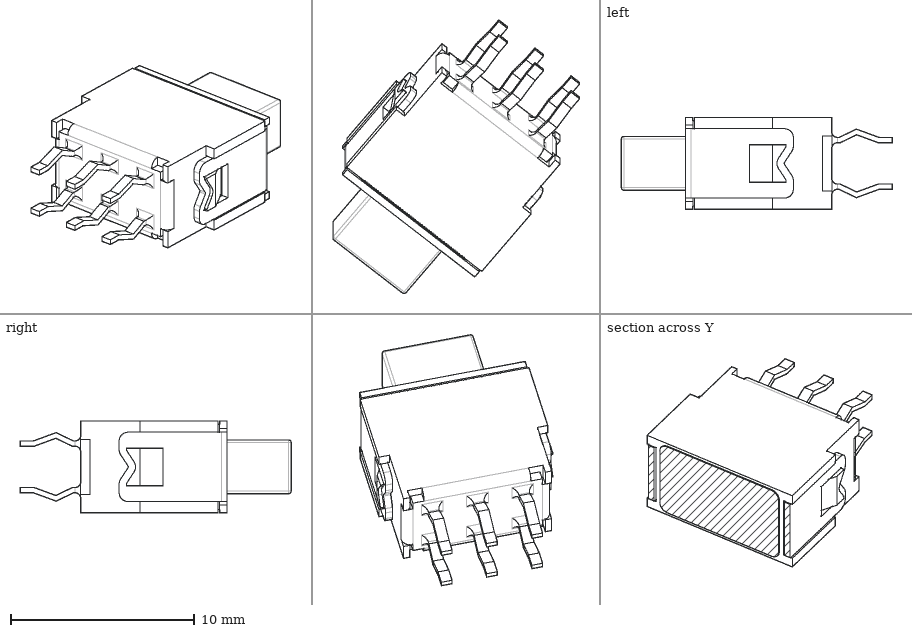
import cadquery as cq
import math


height = 5.02
body_width = 8.33
body_length = 7.5
rail_width = 9.5
rail_start = 3.23
leg_width = 3.79
collar_width = 7.81
collar_height = 4.68
collar_corner = 0.52

end_depth = 0.52
corner_post = 0.35
base_width = 7.28
base_height = 4.0
top_lip_width = 6.01
side_lip_height = 3.0

sheet = 0.4
plate_front = 7.99
plate_width = 9.31
bend_radius = 0.3
relief_width = 0.19
relief_depth = 0.33
leg_end = 2.1
leg_corner = 0.49
hook_tip = 2.62
hook_half_height = 0.78
hook_tip_radius = 0.1
window_end = 4.48
window_height = 2.09

overall_width = 9.7
latch_clearance = 0.03

actuator_width = 5.12
actuator_height = 2.95
actuator_tip = 11.5
actuator_round = 0.15

pitch = 2.55
pin_width = 0.6
pin_thickness = 0.3
pin_flare = 0.31
pin_knee = 0.43
pin_peak = 1.35
pin_peak_rise = 0.45
pin_foot = 2.56
pin_tip = 3.3

plate_back = plate_front - sheet
window_start = leg_end + sheet
leg_outer = plate_width / 2
leg_inner = leg_outer - sheet


def block(width, y_start, y_end, tall):
    """Box centred on X and Z between two Y positions."""
    return cq.Workplane("XY").box(width, y_end - y_start, tall).translate((0, (y_start + y_end) / 2, 0))


def side_prism(outline, x_start, x_end):
    """Extrude a (Y, Z) workplane outline between two X positions."""
    return outline.extrude(x_end - x_start).translate((x_start, 0, 0))


def both_sides(solid):
    """Combine a solid on the +X side with its mirror image on the -X side."""
    return solid.union(solid.mirror("YZ"))


def make_housing():
    housing = block(body_width, end_depth, body_length, height)

    rails = block(rail_width, rail_start, body_length, height)
    leg_channel = block(rail_width, rail_start, body_length, leg_width)
    housing = housing.union(rails.cut(leg_channel))

    end = block(base_width, 0, end_depth, base_height)
    posts = block(body_width, 0, end_depth, height)
    posts = posts.cut(block(body_width - 2 * corner_post, 0, end_depth, height))
    posts = posts.cut(block(body_width, 0, end_depth, side_lip_height))
    top_lips = block(top_lip_width, 0, 2 * end_depth, height)
    top_lips = top_lips.edges("<Y and |X").fillet((height - base_height) / 2)
    side_lips = block(body_width, 0, 2 * end_depth, side_lip_height)
    side_lips = side_lips.edges("<Y and |Z").fillet((body_width - base_width) / 2)
    housing = housing.union(end).union(posts).union(top_lips).union(side_lips)

    collar = block(collar_width, body_length, plate_back, collar_height)
    return housing.union(collar.edges("|Y").fillet(collar_corner))


def window_outline(window_half):
    """Leg window whose lower end runs parallel to the V hook, one sheet thickness away."""
    radius = sheet + hook_tip_radius
    run = hook_tip - leg_end
    slant = math.hypot(run, hook_half_height)
    arc_centre = hook_tip - hook_tip_radius * slant / hook_half_height
    arc_y = arc_centre + radius * hook_half_height / slant
    arc_z = radius * run / slant
    flat_z = arc_z + (arc_y - window_start) * hook_half_height / run
    return (
        cq.Workplane("YZ")
        .moveTo(window_end, window_half)
        .lineTo(window_start, window_half)
        .lineTo(window_start, flat_z)
        .lineTo(arc_y, arc_z)
        .threePointArc((arc_centre + radius, 0), (arc_y, -arc_z))
        .lineTo(window_start, -flat_z)
        .lineTo(window_start, -window_half)
        .lineTo(window_end, -window_half)
        .close()
    )


def make_leg():
    outline = cq.Workplane("YZ").rect(plate_front - leg_end, leg_width)
    leg = side_prism(outline, leg_inner, leg_outer).translate((0, (plate_front + leg_end) / 2, 0))
    notch = cq.Workplane("YZ").polyline(
        [(leg_end, hook_half_height), (hook_tip, 0), (leg_end, -hook_half_height)]
    ).close()
    leg = leg.cut(side_prism(notch, leg_inner, leg_outer))
    notch_tip = cq.selectors.NearestToPointSelector((leg_outer - sheet / 2, hook_tip, 0))
    leg = leg.edges("|X").edges(notch_tip).fillet(hook_tip_radius)
    leg = leg.faces("<Y").edges("|X").fillet(leg_corner)
    return leg.cut(side_prism(window_outline(window_height / 2), leg_inner, leg_outer))


def make_latch():
    boss_top = overall_width / 2
    latch_half = window_height / 2 - latch_clearance
    latch = side_prism(window_outline(latch_half), body_width / 2, boss_top)
    ramp = cq.Workplane("XY").polyline(
        [(boss_top, rail_start), (boss_top, window_end), (body_width / 2, window_end)]
    ).close().extrude(window_height / 2, both=True)
    return latch.cut(ramp)


def make_bracket():
    plate = block(plate_width, plate_back, plate_front, height)
    bracket = plate.union(both_sides(make_leg()))

    bend = cq.Workplane("XY").moveTo(leg_outer, plate_front - bend_radius).lineTo(leg_outer, plate_front)
    bend = bend.lineTo(leg_outer - bend_radius, plate_front)
    bend = bend.radiusArc((leg_outer, plate_front - bend_radius), bend_radius).close()
    bend = bend.extrude(leg_width / 2, both=True)

    slot_centre = (leg_width + relief_width) / 2
    slots = (
        cq.Workplane("XZ", origin=(leg_outer, plate_front, 0))
        .pushPoints([(0, slot_centre), (0, -slot_centre)])
        .slot2D(2 * relief_depth, relief_width)
        .extrude(sheet)
    )
    return bracket.cut(both_sides(bend)).cut(both_sides(slots))


def make_actuator():
    actuator = block(actuator_width, plate_back, actuator_tip, actuator_height)
    return actuator.edges("|Y or >Y").fillet(actuator_round)


def flare_profile(stem):
    """Concave flare that widens from the stem size to the terminal face."""
    half = stem / 2
    wide = half + pin_flare
    mid = pin_flare * (1 - math.sqrt(0.5))
    return (
        cq.Workplane("XY")
        .moveTo(wide, 0)
        .threePointArc((half + mid, -mid), (half, -pin_flare))
        .lineTo(-half, -pin_flare)
        .threePointArc((-half - mid, -mid), (-wide, 0))
        .close()
        .extrude(pin_width + pin_flare, both=True)
    )


def make_pin():
    """Terminal on the Y axis whose kink rises to +Z."""
    path = cq.Workplane("YZ").polyline(
        [(0, 0), (-pin_knee, 0), (-pin_peak, pin_peak_rise), (-pin_foot, 0), (-pin_tip, 0)]
    )
    pin = cq.Workplane("XZ").rect(pin_width, pin_thickness).sweep(path, transition="right")
    flare_in_x = flare_profile(pin_width)
    flare_in_z = flare_profile(pin_thickness).rotate((0, 0, 0), (0, 1, 0), 90)
    return pin.union(flare_in_x.intersect(flare_in_z))


result = make_housing().union(make_bracket()).union(both_sides(make_latch())).union(make_actuator())

upper_pin = make_pin()
lower_pin = upper_pin.mirror("XY")
for column in (-1, 0, 1):
    result = result.union(upper_pin.translate((column * pitch, 0, pitch / 2)))
    result = result.union(lower_pin.translate((column * pitch, 0, -pitch / 2)))